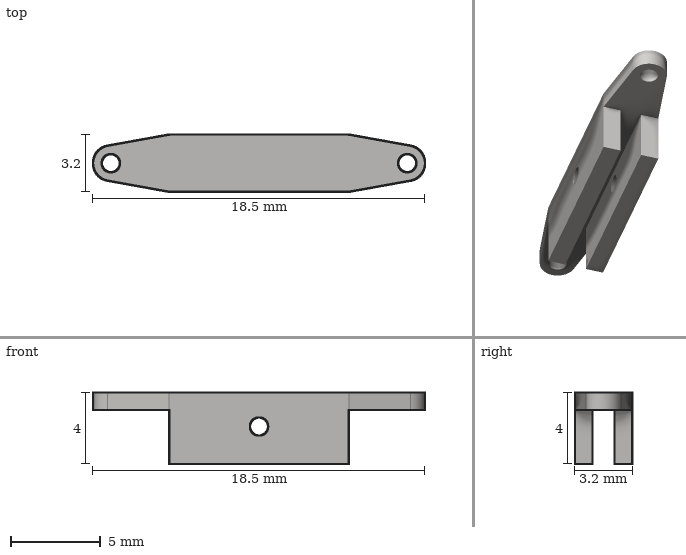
import cadquery as cq
import math

length = 18.5
width = 3.2
height = 4.0
thickness = 1.0
body_length = 10.0
end_radius = 1.0
hole_diameter = 1.0
pin_depth = 1.9

half_body = body_length / 2
half_width = width / 2
end_center = length / 2 - end_radius
plate_bottom = height - thickness
wall_offset = (width - thickness) / 2

center_distance = math.hypot(end_center - half_body, half_width)
angle_to_corner = math.atan2(half_width, half_body - end_center)
tangent_angle = angle_to_corner - math.acos(end_radius / center_distance)
tangent_x = end_center + end_radius * math.cos(tangent_angle)
tangent_y = end_radius * math.sin(tangent_angle)


def make_plate():
    """Flat plate tapering to a round, drilled lug at each end."""
    plate = (
        cq.Workplane("XY", origin=(0, 0, plate_bottom))
        .moveTo(-half_body, half_width)
        .lineTo(half_body, half_width)
        .lineTo(tangent_x, tangent_y)
        .threePointArc((length / 2, 0), (tangent_x, -tangent_y))
        .lineTo(half_body, -half_width)
        .lineTo(-half_body, -half_width)
        .lineTo(-tangent_x, -tangent_y)
        .threePointArc((-length / 2, 0), (-tangent_x, tangent_y))
        .close()
        .extrude(thickness)
    )
    return (
        plate.faces(">Z")
        .workplane(origin=(0, 0, height))
        .pushPoints([(-end_center, 0), (end_center, 0)])
        .hole(hole_diameter)
    )


def make_walls():
    """Two parallel walls below the plate, flush with its long sides."""
    return (
        cq.Workplane("XY")
        .pushPoints([(0, -wall_offset), (0, wall_offset)])
        .rect(body_length, thickness)
        .extrude(plate_bottom)
    )


def make_pin_hole():
    """Cross hole through both walls."""
    return (
        cq.Workplane("XZ", origin=(0, 0, height - pin_depth))
        .circle(hole_diameter / 2)
        .extrude(half_width, both=True)
    )


result = make_plate().union(make_walls()).cut(make_pin_hole())